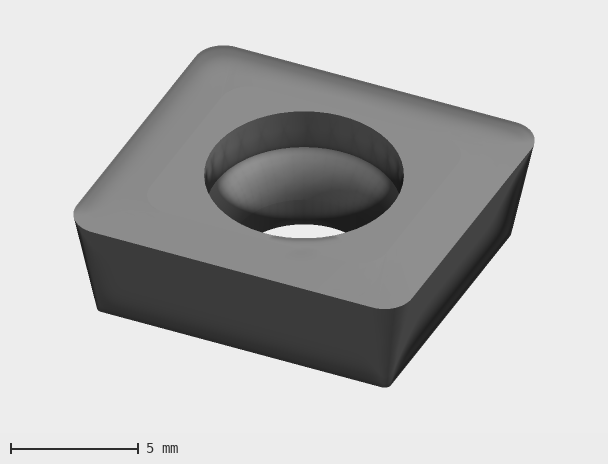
import cadquery as cq
import math

length = 15.04
width = 12.7
height = 4.86
lean = math.radians(4)
relief = math.radians(11)
corner_radius = 1.2

land_drop = 0.12
flat_half_length = 5.05
flat_half_width = 4.27
flat_corner_radius = 1.2
edge_z = height - land_drop

acute_facet_flat_x = 2.78
acute_facet_edge_y = 2.2
obtuse_facet_flat_y = 2.12
obtuse_facet_edge_x = -3.15
sliver_angle = math.radians(7.5)
sliver_tip = 0.05

mouth_radius = 3.91
seat_radius = 3.85
bore_radius = 2.86
seat_depth = 1.76
bore_depth = 3.61

obtuse_corner_sweep = math.pi / 2 - lean
side_normal = (math.cos(lean), -math.sin(lean))
end_normal = (0.0, 1.0)


def point_on_side(half_length, y, z):
    """Point at height y on the slanted +X side."""
    return cq.Vector(half_length + y * math.tan(lean), y, z)


def opposite(point):
    """Half turn about the Z axis."""
    return cq.Vector(-point.x, -point.y, point.z)


def corner_arc(half_length, half_width, radius, z, side):
    """Start, middle and end of a +Y corner; side is 1 for acute (+X), -1 for obtuse (-X)."""
    center_y = half_width - radius
    center_x = center_y * math.tan(lean) + side * (half_length - radius / math.cos(lean))
    normal_x, normal_y = side * side_normal[0], side * side_normal[1]
    middle_x, middle_y = normal_x + end_normal[0], normal_y + end_normal[1]
    middle_size = math.hypot(middle_x, middle_y)
    directions = [(normal_x, normal_y), (middle_x / middle_size, middle_y / middle_size), end_normal]
    points = [cq.Vector(center_x + radius * dx, center_y + radius * dy, z) for dx, dy in directions]
    return points if side > 0 else points[::-1]


def outline(half_length, half_width, radius, z):
    """The acute and obtuse corner arcs on the +Y half of a rounded parallelogram."""
    return [corner_arc(half_length, half_width, radius, z, side) for side in (1, -1)]


def line(start, end):
    return cq.Edge.makeLine(start, end)


def arc(points):
    return cq.Edge.makeThreePointArc(*points)


def polygon(*points):
    return cq.Face.makeFromWires(cq.Wire.makePolygon(list(points), close=True))


half_width = width / 2
center_y = half_width - corner_radius
center_x = length / 2 - corner_radius
half_length = center_x + corner_radius / math.cos(lean) - center_y * math.tan(lean)
inset = edge_z * math.tan(relief)
edge_acute, edge_obtuse = outline(half_length, half_width, corner_radius, edge_z)
base_acute, base_obtuse = outline(
    half_length - inset / math.cos(lean), half_width - inset, corner_radius - inset, 0
)
flat_acute, flat_obtuse = outline(flat_half_length, flat_half_width, flat_corner_radius, height)

edge_right = point_on_side(half_length, acute_facet_edge_y, edge_z)
edge_top = cq.Vector(obtuse_facet_edge_x, half_width, edge_z)
edge_left = opposite(edge_right)
flat_top = cq.Vector(acute_facet_flat_x, flat_half_width, height)
flat_left = opposite(point_on_side(flat_half_length, -obtuse_facet_flat_y, height))


flat_sliver = opposite(point_on_side(flat_half_length, sliver_tip - flat_obtuse[2].y, height))


def obtuse_edge_point(angle):
    """Point on the obtuse corner of the cutting edge, at an angle past its start."""
    start = edge_obtuse[0]
    return cq.Vector(
        start.x - corner_radius * math.sin(angle),
        start.y - corner_radius * (1 - math.cos(angle)),
        edge_z,
    )


def sliver_arcs():
    """The obtuse corner arc as two pieces: beside the sliver, then the rest."""
    split = obtuse_edge_point(sliver_angle)
    sliver = arc([edge_obtuse[0], obtuse_edge_point(sliver_angle / 2), split])
    rest = arc([split, obtuse_edge_point((sliver_angle + obtuse_corner_sweep) / 2), edge_obtuse[2]])
    return sliver, rest


def land_faces():
    """Sloping land from the acute corner round to the next acute corner."""
    ruled = cq.Face.makeRuledSurface
    sliver_arc, rest_arc = sliver_arcs()
    return [
        ruled(line(edge_right, edge_acute[0]), arc(flat_acute)),
        ruled(arc(edge_acute), line(flat_acute[2], flat_top)),
        polygon(edge_acute[2], edge_top, flat_obtuse[0], flat_top),
        ruled(line(edge_top, edge_obtuse[0]), arc(flat_obtuse)),
        ruled(sliver_arc, line(flat_obtuse[2], flat_sliver)),
        ruled(rest_arc, line(flat_sliver, flat_left)),
        polygon(edge_obtuse[2], edge_left, opposite(flat_acute[0]), flat_left),
    ]


def half_turn(shape):
    return shape.rotate(cq.Vector(), cq.Vector(0, 0, 1), 180)


def closed_outline(end_points, side_points, arcs):
    """Closed wire from the +Y half of an outline: its corner arcs and the points along its straights."""
    edges = list(arcs)
    for points in (end_points, side_points):
        edges += [line(start, end) for start, end in zip(points, points[1:])]
    edges += [half_turn(edge) for edge in edges]
    return cq.Wire.combine(edges)[0]


def plain_outline(acute, obtuse):
    return closed_outline(
        [acute[2], obtuse[0]], [obtuse[2], opposite(acute[0])], [arc(acute), arc(obtuse)]
    )


def make_tapered_block():
    """Flat walls and conical corners from the bottom up to the cutting edge."""
    outlines = [plain_outline(base_acute, base_obtuse), plain_outline(edge_acute, edge_obtuse)]
    return cq.Workplane(cq.Solid.makeLoft(outlines, True))


def make_land():
    """Faceted land and raised flat above the cutting edge."""
    lower = closed_outline(
        [edge_acute[2], edge_top, edge_obtuse[0]],
        [edge_obtuse[2], edge_left, opposite(edge_acute[0])],
        [arc(edge_acute), *sliver_arcs()],
    )
    upper = closed_outline(
        [flat_acute[2], flat_top, flat_obtuse[0]],
        [flat_obtuse[2], flat_sliver, flat_left, opposite(flat_acute[0])],
        [arc(flat_acute), arc(flat_obtuse)],
    )
    half = land_faces()
    faces = half + [half_turn(face) for face in half]
    faces += [cq.Face.makeFromWires(lower), cq.Face.makeFromWires(upper)]
    return cq.Workplane(cq.Solid.makeSolid(cq.Shell.makeShell(faces)).fix())


def make_screw_hole():
    """Slightly tapered head recess, rounded seat tangent to the bore, straight bore."""
    seat_z = height - seat_depth
    bore_z = height - bore_depth
    drop = seat_z - bore_z
    step = seat_radius - bore_radius
    seat_curve = (drop**2 + step**2) / (2 * step)
    half_angle = math.asin(drop / seat_curve) / 2
    seat_middle = (
        bore_radius + seat_curve * (1 - math.cos(half_angle)),
        bore_z + seat_curve * math.sin(half_angle),
    )
    return (
        cq.Workplane("XZ")
        .moveTo(0, 0)
        .lineTo(bore_radius, 0)
        .lineTo(bore_radius, bore_z)
        .threePointArc(seat_middle, (seat_radius, seat_z))
        .lineTo(mouth_radius, height)
        .lineTo(0, height)
        .close()
        .revolve(360, (0, 0, 0), (0, 1, 0))
    )


result = make_tapered_block().union(make_land()).cut(make_screw_hole())